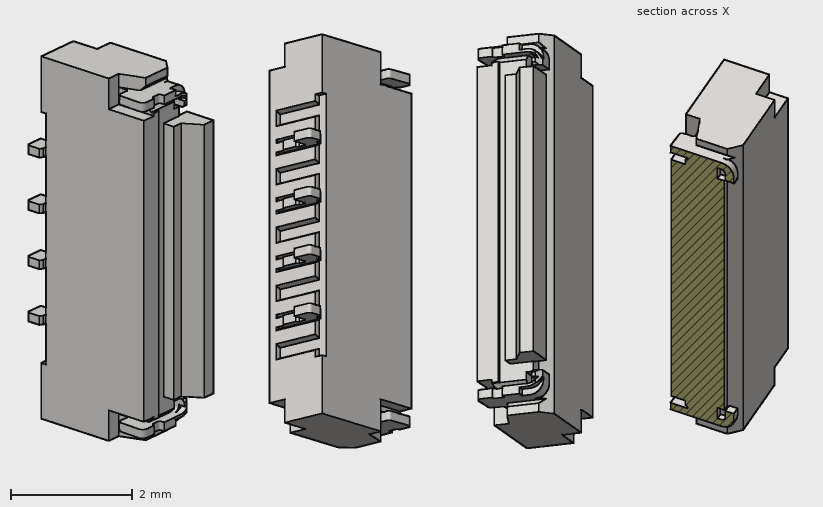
import cadquery as cq
import math


HALF_LENGTH = 3.25
BODY_TOP = 1.17
BODY_FRONT = 2.205
LIP_TOP = 0.38
UPPER_FRONT = 2.15
WALL_FRONT = 1.9
BEVEL = 0.195
END_CUT_X = 0.51
END_CUT_Y = 0.34
END_CUT_Z = 0.4

RECESS_X = 1.45
RECESS_HALF = 2.7
CLIP_INNER = 2.85
CLIP_OUTER = 3.01
RECESS_ROOF = 0.257
SLOPE_END_Y = 0.41
WALL_BEVEL = 0.09
LEDGE_FRONT = 2.05
LEDGE_FRONT_DROP = 0.1
LEDGE_TOP = 0.85
LEDGE_BEVEL = 0.055

CLIP_FRONT = 2.25
FOOT_BACK = 1.65
FOOT_FRONT = 2.205
FOOT_TOP = 0.27
NECK_FRONT = 2.146
FOOT_BOTTOM = -0.02
FOOT_ROUND = 0.055
FOOT_FRONT_ROUND = 0.1
NECK_BOTTOM = 0.468
NECK_ROUND = 0.035
TAB_BACK = 1.87
TAB_JOG_X = 2.126
TAB_JOG_Y = 0.77
TAB_JOG_DEPTH = 0.11
BEND_START = 0.908
BEND_OUTER = 0.24
TAB_END = 2.62
TAB_BEVEL = 0.1
TAB_TIP_TOP = 2.74
TAB_TIP_BEVEL = 0.045

PLATE_BACK = 2.126
PLATE_STEP = 2.37
PLATE_FRONT = 2.7
PLATE_TOP = 1.2
PLATE_BOTTOM = 0.57
PLATE_SLOPE_LOW = 0.76
PLATE_SLOPE_HIGH = 0.955
PLATE_HALF = 2.45

CONTACT_COUNT = 4
CONTACT_PITCH = 1.0
CONTACT_WIDTH = 0.16
SLOT_COUNT = 2 * CONTACT_COUNT + 1
SLOT_PITCH = CONTACT_PITCH / 2
SLOT_DEPTH = 0.1
SLOT_BOTTOM = 0.152
SLOT_TOP = 1.02
SLOT_MOUTH = 0.27
SLOT_FLOOR = 0.18
REAR_RELIEF_HALF = 2.25
FOOT_REACH = 0.3
FOOT_HEIGHT = 0.35
FOOT_RAMP = 0.06
CONTACT_BOTTOM = 0.12
BUMP_REACH = 0.04
BUMP_BOTTOM = 0.53
BUMP_TOP = 0.81
CONTACT_ROUND = 0.05


def slab(outline, z_low, z_high):
    """Prism of a closed XY outline between two Z levels."""
    return outline.extrude(z_high - z_low).translate((0, 0, z_low))


def polygon(points):
    return cq.Workplane("XY").polyline(points).close()


def box(x_range, y_range, z_range):
    x_low, x_high = x_range
    y_low, y_high = y_range
    return slab(polygon([(x_low, y_low), (x_high, y_low), (x_high, y_high), (x_low, y_high)]), *z_range)


def both_ends(shape):
    return shape.union(shape.mirror("XY"))


def housing_core():
    bevel_low = BODY_TOP - BEVEL
    outline = polygon([
        (0, 0), (BODY_FRONT, 0), (BODY_FRONT, LIP_TOP), (UPPER_FRONT, LIP_TOP),
        (UPPER_FRONT, bevel_low), (WALL_FRONT, bevel_low),
        (WALL_FRONT - BEVEL, BODY_TOP), (0, BODY_TOP),
    ])
    return slab(outline, -CLIP_INNER, CLIP_INNER)


def end_wall():
    """End of the housing beside and beyond the clip, undercut by the clip recess."""
    outline = polygon([
        (0, 0), (RECESS_X, 0), (RECESS_X, RECESS_ROOF),
        (WALL_FRONT, SLOPE_END_Y), (WALL_FRONT, BODY_TOP - BEVEL),
        (WALL_FRONT - BEVEL, BODY_TOP), (0, BODY_TOP),
    ])
    wall = slab(outline, CLIP_INNER, HALF_LENGTH)
    bevel = (cq.Workplane("XZ")
             .polyline([(WALL_FRONT - WALL_BEVEL, CLIP_OUTER), (WALL_FRONT, CLIP_OUTER),
                        (WALL_FRONT, CLIP_OUTER + WALL_BEVEL)])
             .close().extrude(-BODY_TOP))
    relief = box((0, END_CUT_X), (BODY_TOP - END_CUT_Y, BODY_TOP),
                 (HALF_LENGTH - END_CUT_Z, HALF_LENGTH))
    return wall.cut(bevel).cut(relief)


def clip_recess():
    """Space cut from the housing core below the clip, leaving a bevelled ledge behind the foot."""
    section = [(0, RECESS_HALF), (RECESS_ROOF, RECESS_HALF), (RECESS_ROOF, CLIP_INNER - LEDGE_BEVEL),
               (RECESS_ROOF + LEDGE_BEVEL, CLIP_INNER), (0, CLIP_INNER)]
    foot_space = (cq.Workplane("YZ").polyline(section).close()
                  .extrude(CLIP_FRONT - RECESS_X).translate((RECESS_X, 0, 0)))
    ledge_low = CLIP_INNER - LEDGE_FRONT_DROP
    front_bevel = (cq.Workplane("XZ")
                   .polyline([(LEDGE_FRONT, CLIP_INNER), (LEDGE_FRONT + LEDGE_FRONT_DROP, ledge_low),
                              (CLIP_FRONT, ledge_low), (CLIP_FRONT, CLIP_INNER)])
                   .close().extrude(-BODY_TOP))
    tab_space = box((WALL_FRONT, CLIP_FRONT), (LEDGE_TOP, BODY_TOP), (TAB_END, CLIP_INNER))
    return foot_space.union(front_bevel).union(tab_space)


def round_corner(plate, x, y, radius):
    """Round the edge along Z that passes through (x, y)."""
    reach = radius / 2
    corner = cq.selectors.BoxSelector((x - reach, y - reach, CLIP_INNER), (x + reach, y + reach, CLIP_OUTER))
    return plate.edges("|Z").edges(corner).fillet(radius)


def clip_plate():
    outline = polygon([
        (RECESS_X, RECESS_ROOF), (FOOT_BACK, RECESS_ROOF), (FOOT_BACK, 0),
        (FOOT_FRONT, FOOT_BOTTOM), (FOOT_FRONT, FOOT_TOP), (NECK_FRONT, FOOT_TOP),
        (NECK_FRONT, NECK_BOTTOM), (CLIP_FRONT, NECK_BOTTOM),
        (CLIP_FRONT, TAB_JOG_Y), (TAB_JOG_X, TAB_JOG_Y), (TAB_JOG_X, BEND_START),
        (RECESS_X, BEND_START),
    ])
    plate = slab(outline, CLIP_INNER, CLIP_OUTER)
    plate = round_corner(plate, FOOT_BACK, RECESS_ROOF, NECK_ROUND)
    plate = round_corner(plate, FOOT_BACK, 0, FOOT_ROUND)
    plate = round_corner(plate, FOOT_FRONT, FOOT_BOTTOM, FOOT_FRONT_ROUND)
    plate = round_corner(plate, NECK_FRONT, FOOT_TOP, NECK_ROUND)
    return round_corner(plate, NECK_FRONT, NECK_BOTTOM, NECK_ROUND)


def bent_strip(x_back, x_front, z_outer):
    """Strip that runs up along Y and bends a quarter turn towards the middle of the part."""
    thickness = z_outer - CLIP_INNER
    y_start = TAB_JOG_Y - thickness
    bend_inner = BEND_OUTER - thickness
    bend_z = z_outer - BEND_OUTER
    diagonal = math.sqrt(0.5)
    section = (cq.Workplane("YZ")
               .moveTo(y_start, z_outer)
               .lineTo(BEND_START, z_outer)
               .threePointArc((BEND_START + BEND_OUTER * diagonal, bend_z + BEND_OUTER * diagonal),
                              (BEND_START + BEND_OUTER, bend_z))
               .lineTo(BEND_START + BEND_OUTER, TAB_END)
               .lineTo(BEND_START + bend_inner, TAB_END)
               .lineTo(BEND_START + bend_inner, bend_z)
               .threePointArc((BEND_START + bend_inner * diagonal, bend_z + bend_inner * diagonal),
                              (BEND_START, z_outer - thickness))
               .lineTo(y_start, z_outer - thickness)
               .close())
    return section.extrude(x_front - x_back).translate((x_back, 0, 0))


def clip():
    rear_strip = bent_strip(TAB_BACK, TAB_JOG_X, CLIP_OUTER)
    front_strip = bent_strip(TAB_JOG_X, CLIP_FRONT, CLIP_OUTER - TAB_JOG_DEPTH)
    tab_top = BEND_START + BEND_OUTER
    tip = (cq.Workplane("XZ")
           .polyline([(TAB_JOG_X, TAB_END), (CLIP_FRONT - TAB_TIP_BEVEL, TAB_END),
                      (CLIP_FRONT, TAB_END + TAB_TIP_BEVEL), (CLIP_FRONT, TAB_TIP_TOP),
                      (TAB_JOG_X, TAB_TIP_TOP)])
           .close().extrude(CLIP_OUTER - CLIP_INNER).translate((0, tab_top, 0)))
    corner = slab(polygon([(CLIP_FRONT - TAB_BEVEL, tab_top), (CLIP_FRONT, tab_top),
                           (CLIP_FRONT, tab_top - TAB_BEVEL)]), TAB_END, CLIP_OUTER)
    return clip_plate().union(rear_strip).union(front_strip).union(tip).cut(corner)


def front_plate():
    outline = polygon([
        (PLATE_BACK, PLATE_BOTTOM), (PLATE_STEP, PLATE_BOTTOM), (PLATE_STEP, PLATE_SLOPE_LOW),
        (PLATE_FRONT, PLATE_SLOPE_HIGH), (PLATE_FRONT, PLATE_TOP), (PLATE_BACK, PLATE_TOP),
    ])
    return slab(outline, -PLATE_HALF, PLATE_HALF)


def rear_slot(z):
    """Flared slot in the rear face, narrower at its floor than at its mouth."""
    section = [(0, -SLOT_MOUTH / 2), (SLOT_DEPTH, -SLOT_FLOOR / 2),
               (SLOT_DEPTH, SLOT_FLOOR / 2), (0, SLOT_MOUTH / 2)]
    return (cq.Workplane("XZ").polyline(section).close()
            .extrude(-(SLOT_TOP - SLOT_BOTTOM)).translate((0, SLOT_BOTTOM, z)))


def contact(z):
    """Contact with a solder foot at the bottom and a rounded bump above it."""
    outline = (cq.Workplane("XY")
               .moveTo(SLOT_DEPTH, CONTACT_BOTTOM)
               .lineTo(0, CONTACT_BOTTOM)
               .lineTo(0, FOOT_RAMP)
               .lineTo(-BUMP_REACH, 0)
               .lineTo(CONTACT_ROUND - FOOT_REACH, 0)
               .radiusArc((-FOOT_REACH, CONTACT_ROUND), CONTACT_ROUND)
               .lineTo(-FOOT_REACH, FOOT_HEIGHT)
               .lineTo(-BUMP_REACH, FOOT_HEIGHT)
               .radiusArc((0, FOOT_HEIGHT + BUMP_REACH), -BUMP_REACH)
               .lineTo(0, BUMP_BOTTOM - BUMP_REACH / 2)
               .lineTo(-BUMP_REACH, BUMP_BOTTOM + BUMP_REACH / 2)
               .lineTo(-BUMP_REACH, BUMP_TOP)
               .radiusArc((0, BUMP_TOP + BUMP_REACH), BUMP_REACH)
               .lineTo(0, SLOT_TOP)
               .lineTo(SLOT_DEPTH, SLOT_TOP)
               .close())
    return slab(outline, z - CONTACT_WIDTH / 2, z + CONTACT_WIDTH / 2)


def row(count, pitch):
    """Evenly spaced positions centred on zero."""
    return [(index - (count - 1) / 2) * pitch for index in range(count)]


housing = housing_core()
housing = housing.cut(both_ends(clip_recess()))
housing = housing.union(both_ends(end_wall()))
housing = housing.cut(box((0, SLOT_DEPTH), (0, SLOT_BOTTOM), (-REAR_RELIEF_HALF, REAR_RELIEF_HALF)))
for slot_z in row(SLOT_COUNT, SLOT_PITCH):
    housing = housing.cut(rear_slot(slot_z))

result = housing.union(front_plate()).union(both_ends(clip()))
for contact_z in row(CONTACT_COUNT, CONTACT_PITCH):
    result = result.union(contact(contact_z))